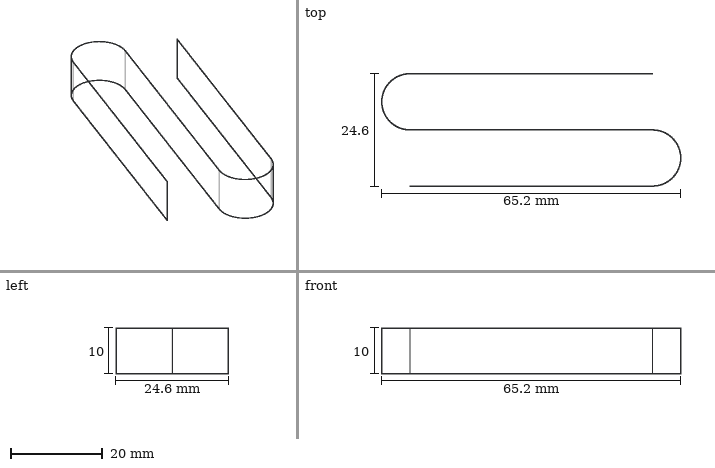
import cadquery as cq

length = 65.2
width = 24.6
height = 10.0
thickness = 0.11

bend_radius = (width - thickness) / 4
leg_spacing = 2 * bend_radius
leg_half_length = (length - thickness) / 2 - bend_radius


def leg(y):
    """Straight run of the strip centred on the given Y."""
    return cq.Workplane("XY").center(0, y).rect(2 * leg_half_length, thickness).extrude(height)


def bend(side):
    """Half-ring joining two legs: side is +1 at the +X end, -1 at the -X end."""
    outer = bend_radius + thickness / 2
    inner = bend_radius - thickness / 2
    x = side * leg_half_length
    y = -side * bend_radius
    return (
        cq.Workplane("XY")
        .moveTo(x, y - outer)
        .threePointArc((x + side * outer, y), (x, y + outer))
        .lineTo(x, y + inner)
        .threePointArc((x + side * inner, y), (x, y - inner))
        .close()
        .extrude(height)
    )


result = leg(0)
for side in (1, -1):
    result = result.union(bend(side)).union(leg(-side * leg_spacing))